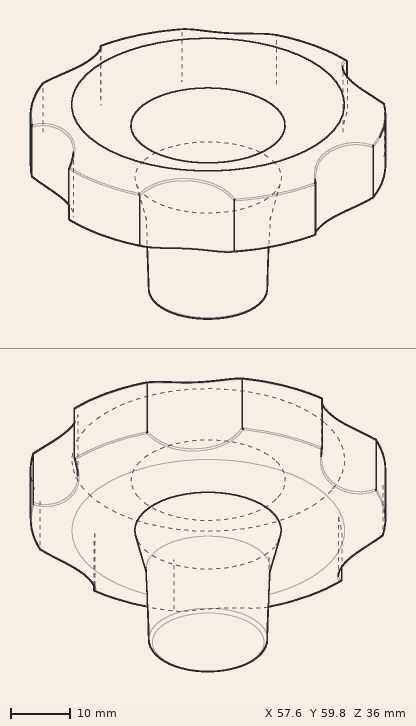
import cadquery as cq
import math

outer_radius = 29.9
total_height = 36.0
head_height = 14.0

upper_shoulder_drop = 1.9
lower_shoulder_drop = 2.15
dish_radius = 22.95
dish_floor_radius = 13.0
dish_depth = 4.0

grip_count = 6
grip_radius = 11.65
grip_half_width = 8.0
outline_fillet = 0.3

stem_bottom_radius = 10.0
stem_neck_radius = 10.45
stem_top_radius = 12.3
stem_neck_height = 14.5
stem_edge_fillet = 0.6

head_bottom = total_height - head_height
grip_corner_distance = math.sqrt(outer_radius**2 - grip_half_width**2)
grip_axis_radius = grip_corner_distance + math.sqrt(grip_radius**2 - grip_half_width**2)


def shoulder_radius(drop):
    """Radius of a shoulder arc tangent to the flat face at the dish radius."""
    width = outer_radius - dish_radius
    return (width**2 + drop**2) / (2 * drop)


def make_head():
    """Revolved head with rounded shoulders and a conical dish in the top."""
    rim_bottom = head_bottom + lower_shoulder_drop
    rim_top = total_height - upper_shoulder_drop
    dish_floor = total_height - dish_depth
    return (
        cq.Workplane("XZ")
        .moveTo(0, head_bottom)
        .lineTo(dish_radius, head_bottom)
        .radiusArc((outer_radius, rim_bottom), -shoulder_radius(lower_shoulder_drop))
        .lineTo(outer_radius, rim_top)
        .radiusArc((dish_radius, total_height), -shoulder_radius(upper_shoulder_drop))
        .lineTo(dish_floor_radius, dish_floor)
        .lineTo(0, dish_floor)
        .close()
        .revolve(360, (0, 0), (0, 1))
    )


def cut_grips(head):
    """Scallop the rim and round the upper and lower edges of the whole outline."""
    cutters = (
        cq.Workplane("XY", origin=(0, 0, head_bottom))
        .polarArray(grip_axis_radius, 0, 360, grip_count)
        .circle(grip_radius)
        .extrude(head_height)
    )
    scalloped = head.cut(cutters)
    outline_edges = scalloped.faces("%CYLINDER").edges("not |Z")
    return outline_edges.fillet(outline_fillet)


def make_stem():
    """Tapered stem that flares out where it joins the head."""
    stem = (
        cq.Workplane("XZ")
        .lineTo(stem_bottom_radius, 0)
        .lineTo(stem_neck_radius, stem_neck_height)
        .lineTo(stem_top_radius, head_bottom)
        .lineTo(0, head_bottom)
        .close()
        .revolve(360, (0, 0), (0, 1))
    )
    return stem.faces("<Z").edges().fillet(stem_edge_fillet)


result = cut_grips(make_head()).union(make_stem())